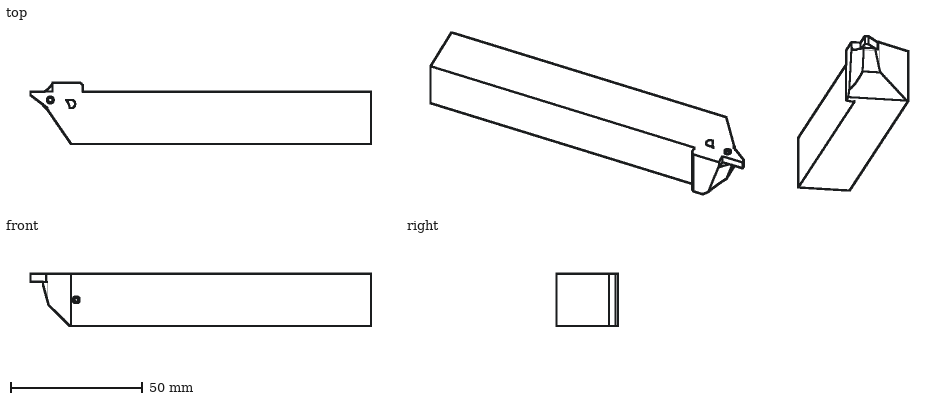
import math

import cadquery as cq


TOTAL_LENGTH = 130.0
SHANK_WIDTH = 20.0
HEIGHT = 20.0
HEAD_WIDTH = 23.5
HEAD_FRONT_X = 8.4
HEAD_BACK_X = 20.0
HEAD_CORNER_CHAMFER = 1.0

FLANK_BASE_X = 15.5
FLANK_ANGLE = 55.5
FLANK_TOP_Y = 13.0

LIP_X = 4.7
LIP_HEIGHT = 0.9
NOSE_SIDE_Y = 19.5
NOSE_RELIEF_Y = 14.9
NOSE_BREAK_Z = 8.0
NOSE_LEAN = 15.5
CHIN_BASE_X = 15.0
SWEEP_RADIUS = 11.0
SWEEP_START_ANGLE = 28.0
SWEEP_CUT_LENGTH = 20.0

INSERT_THICKNESS = 3.18
INSERT_EDGE_ANGLE = 37.0
INSERT_TIP_FLAT = 1.35
INSERT_WIDTH = 6.27
INSERT_TAIL_X = 15.0
INSERT_TAIL_RADIUS = 5.0
INSERT_TAIL_FLAT = 1.0
INSERT_SCREW_X = 7.6
INSERT_SCREW_Y = 16.85
INSERT_SCREW_DIAMETER = 2.6
INSERT_SCREW_SOCKET = 1.8
INSERT_SCREW_RECESS = 0.2
INSERT_SCREW_DEPTH = 0.6
RELIEF_RADIUS = 1.6
RELIEF_CENTER_X = 15.5

SIDE_SCREW_X = 17.5
SIDE_SCREW_Z = 10.0
SIDE_SCREW_DIAMETER = 2.6
SIDE_SCREW_SOCKET = 1.5
SIDE_SCREW_RECESS = 0.2
SIDE_SCREW_DEPTH = 0.6

POCKET_FLOOR_Z = HEIGHT - INSERT_THICKNESS
LIP_BOTTOM_Z = POCKET_FLOOR_Z - LIP_HEIGHT
NOSE_SLOPE = math.tan(math.radians(NOSE_LEAN))
INSERT_SLOPE = math.tan(math.radians(INSERT_EDGE_ANGLE))
INSERT_BACK_Y = SHANK_WIDTH - INSERT_WIDTH
INSERT_TIP_Y = SHANK_WIDTH - INSERT_TIP_FLAT
INSERT_CORNER_X = (INSERT_TIP_Y - INSERT_BACK_Y) / INSERT_SLOPE
RELIEF_TOP_Y = INSERT_BACK_Y + 2 * RELIEF_RADIUS
RELIEF_START_X = HEAD_FRONT_X + (SHANK_WIDTH - RELIEF_TOP_Y) / INSERT_SLOPE


def flank_x(y):
    """X of the oblique side flank at a given Y."""
    return FLANK_BASE_X - y / math.tan(math.radians(FLANK_ANGLE))


def nose_x(z):
    """X of the leaning nose face at a given Z."""
    return LIP_X + (LIP_BOTTOM_Z - z) * NOSE_SLOPE


def plan_blank():
    """Full-height block with the plan outline of shank, head and nose, including the nose relief facet."""
    return (
        cq.Workplane("XY")
        .moveTo(LIP_X, HEAD_WIDTH)
        .lineTo(HEAD_BACK_X - HEAD_CORNER_CHAMFER, HEAD_WIDTH)
        .lineTo(HEAD_BACK_X, HEAD_WIDTH - HEAD_CORNER_CHAMFER)
        .lineTo(HEAD_BACK_X, SHANK_WIDTH)
        .lineTo(TOTAL_LENGTH, SHANK_WIDTH)
        .lineTo(TOTAL_LENGTH, 0)
        .lineTo(FLANK_BASE_X, 0)
        .lineTo(flank_x(FLANK_TOP_Y), FLANK_TOP_Y)
        .lineTo(LIP_X, NOSE_RELIEF_Y)
        .close()
        .extrude(HEIGHT)
    )


def side_profile():
    """Side outline of the nose: upright lip, leaning face and sloping chin."""
    return (
        cq.Workplane("XZ")
        .moveTo(LIP_X, HEIGHT)
        .lineTo(LIP_X, LIP_BOTTOM_Z)
        .lineTo(nose_x(NOSE_BREAK_Z), NOSE_BREAK_Z)
        .lineTo(CHIN_BASE_X, 0)
        .lineTo(TOTAL_LENGTH, 0)
        .lineTo(TOTAL_LENGTH, HEIGHT)
        .close()
        .extrude(-HEAD_WIDTH)
    )


def side_sweep():
    """Concave cut between nose and head, running down parallel to the nose face."""
    start = math.radians(SWEEP_START_ANGLE)
    end = math.acos(math.cos(start) - (HEAD_WIDTH - NOSE_SIDE_Y) / SWEEP_RADIUS)

    def outline(z):
        x = nose_x(z)
        front_x = x - SWEEP_CUT_LENGTH

        def arc_point(angle):
            return (
                x + SWEEP_RADIUS * (math.sin(angle) - math.sin(start)),
                NOSE_SIDE_Y + SWEEP_RADIUS * (math.cos(start) - math.cos(angle)),
            )

        return (
            cq.Workplane("XY", origin=(0, 0, z))
            .moveTo(front_x, NOSE_SIDE_Y)
            .lineTo(x, NOSE_SIDE_Y)
            .threePointArc(arc_point((start + end) / 2), arc_point(end))
            .lineTo(front_x, HEAD_WIDTH)
            .close()
            .wires()
            .val()
        )

    return cq.Workplane(cq.Solid.makeLoft([outline(0), outline(HEIGHT)], True))


def pocket():
    """Insert seat, open at the nose, ending in a rounded relief slot."""
    return (
        cq.Workplane("XY", origin=(0, 0, POCKET_FLOOR_Z))
        .moveTo(0, HEAD_WIDTH)
        .lineTo(HEAD_FRONT_X, HEAD_WIDTH)
        .lineTo(HEAD_FRONT_X, SHANK_WIDTH)
        .lineTo(RELIEF_START_X, RELIEF_TOP_Y)
        .lineTo(RELIEF_CENTER_X, RELIEF_TOP_Y)
        .threePointArc(
            (RELIEF_CENTER_X + RELIEF_RADIUS, INSERT_BACK_Y + RELIEF_RADIUS),
            (RELIEF_CENTER_X, INSERT_BACK_Y),
        )
        .lineTo(0, INSERT_BACK_Y)
        .close()
        .extrude(INSERT_THICKNESS)
    )


def insert():
    """Cutting insert with a flat tip and a rounded tail."""
    return (
        cq.Workplane("XY", origin=(0, 0, POCKET_FLOOR_Z))
        .moveTo(0, SHANK_WIDTH)
        .lineTo(HEAD_FRONT_X, SHANK_WIDTH)
        .lineTo(RELIEF_START_X, RELIEF_TOP_Y)
        .lineTo(RELIEF_START_X + INSERT_TAIL_FLAT, RELIEF_TOP_Y)
        .radiusArc((INSERT_TAIL_X, INSERT_BACK_Y), INSERT_TAIL_RADIUS)
        .lineTo(INSERT_CORNER_X, INSERT_BACK_Y)
        .lineTo(0, INSERT_TIP_Y)
        .close()
        .extrude(INSERT_THICKNESS)
    )


def screw_recess(plane, head_diameter, head_depth, socket_diameter, socket_depth):
    """Shallow round recess over a screw with the deeper screw socket in its middle."""
    recess = cq.Workplane(plane).circle(head_diameter / 2).extrude(-head_depth)
    socket = cq.Workplane(plane).circle(socket_diameter / 2).extrude(-socket_depth)
    return recess.union(socket)


insert_screw = screw_recess(
    cq.Plane((INSERT_SCREW_X, INSERT_SCREW_Y, HEIGHT), (1, 0, 0), (0, 0, 1)),
    INSERT_SCREW_DIAMETER,
    INSERT_SCREW_RECESS,
    INSERT_SCREW_SOCKET,
    INSERT_SCREW_DEPTH,
)
side_screw = screw_recess(
    cq.Plane((SIDE_SCREW_X, 0, SIDE_SCREW_Z), (1, 0, 0), (0, -1, 0)),
    SIDE_SCREW_DIAMETER,
    SIDE_SCREW_RECESS,
    SIDE_SCREW_SOCKET,
    SIDE_SCREW_DEPTH,
)

body = plan_blank().intersect(side_profile()).cut(side_sweep()).cut(pocket())
result = body.union(insert()).cut(insert_screw).cut(side_screw)